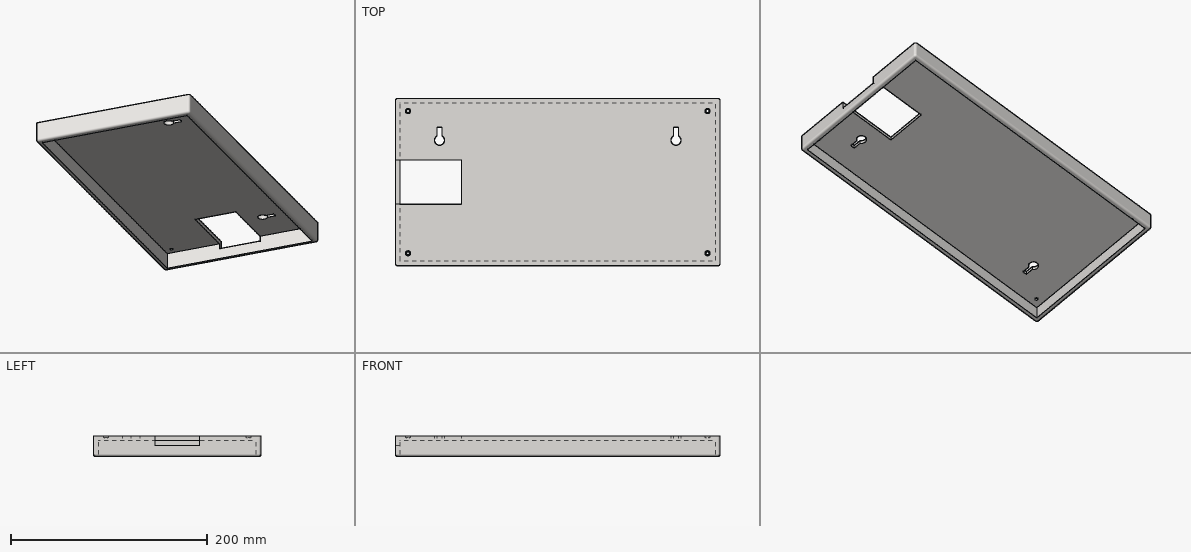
import cadquery as cq

length = 330.5
width = 170.5
height = 21.0
plate_thickness = 4.5
wall_thickness = 5.0
corner_radius = 2.48
rim_radius = 2.3

window_length = 67.0
window_width = 45.0
window_back_offset = 62.8
notch_depth = 10.0

screw_inset = 13.0
screw_diameter = 3.0
screw_head_diameter = 5.3
screw_head_depth = 2.0

keyhole_side_inset = 45.0
keyhole_back_inset = 42.5
keyhole_diameter = 10.0
keyhole_slot_width = 4.5
keyhole_slot_reach = 13.2


def make_shell():
    """Hollow tray with rounded corners and a rounded outer bottom rim."""
    body = cq.Workplane("XY").box(length, width, height, centered=(True, True, False))
    body = body.edges("|Z").fillet(corner_radius)
    body = body.faces("<Z").edges().fillet(rim_radius)
    cavity = cq.Workplane("XY").box(
        length - 2 * wall_thickness,
        width - 2 * wall_thickness,
        height - plate_thickness,
        centered=(True, True, False),
    )
    return body.cut(cavity)


def make_window():
    """Cutter for the window and the notch in the -X wall."""
    return cq.Workplane("XY").box(window_length, window_width, notch_depth, centered=False).translate(
        (-length / 2, width / 2 - window_back_offset - window_width, height - notch_depth)
    )


def make_keyhole(x):
    """Cutter for one keyhole, passing through the plate."""
    y = width / 2 - keyhole_back_inset
    plate_bottom = cq.Workplane("XY").workplane(offset=height - plate_thickness)
    round_part = plate_bottom.center(x, y).circle(keyhole_diameter / 2).extrude(plate_thickness)
    slot = (
        plate_bottom.center(x, y + keyhole_slot_reach / 2)
        .rect(keyhole_slot_width, keyhole_slot_reach)
        .extrude(plate_thickness)
    )
    return round_part.union(slot)


def add_screw_holes(body):
    """Four counterbored holes through the plate."""
    return (
        body.faces(">Z")
        .workplane(origin=(0, 0, height))
        .rect(length - 2 * screw_inset, width - 2 * screw_inset, forConstruction=True)
        .vertices()
        .cboreHole(screw_diameter, screw_head_diameter, screw_head_depth)
    )


result = add_screw_holes(make_shell())
result = result.cut(make_window())
for side in (-1, 1):
    result = result.cut(make_keyhole(side * (length / 2 - keyhole_side_inset)))